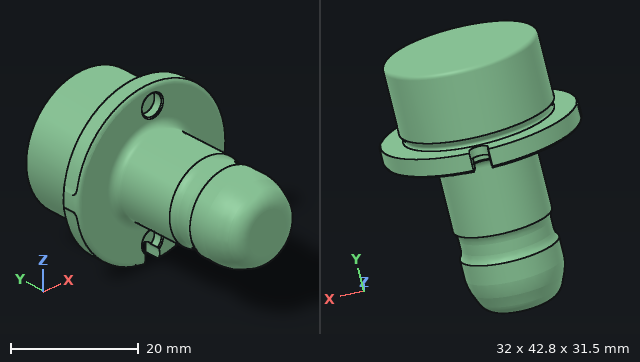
import cadquery as cq
import math


flange_thickness = 3.3
lug_diameter = 31.97
lug_radius = lug_diameter / 2
rim_radius = 15.8
flange_front_fillet = 1.03
flange_back_fillet = 0.2
lug_half_width = 1.5
lug_ramp_half_width = 2.7

barrel_diameter = 25.0
barrel_radius = barrel_diameter / 2
barrel_end = 16.15
barrel_fillet = 0.9
undercut_start = 4.7
undercut_bottom = 3.95
undercut_radius = 12.03
undercut_flange_radius = 12.2

shaft_diameter = 16.0
shaft_radius = shaft_diameter / 2
shaft_root_fillet = 1.5
groove_diameter = 15.0
groove_radius = groove_diameter / 2
groove_start = -12.7
groove_floor_start = -14.15
groove_floor_end = -15.95
groove_end = groove_floor_end - (groove_start - groove_floor_start)

nose_start = -20.67
shaft_end = -26.65
nose_shoulder_radius = 6.0
nose_tip_radius = 3.0
cone_angle = math.radians(23)

hole_offset = 12.03
hole_diameter = 4.1
hole_depth = 1.8
hole_chamfer = 0.2
slot_width = 3.0
slot_top = -12.9


def make_turned_body():
    """Barrel, undercut, full flange, and shaft without its groove, revolved as one profile."""
    cone_start_radius = shaft_radius - nose_shoulder_radius * (1 - math.cos(cone_angle))
    cone_start = nose_start - nose_shoulder_radius * math.sin(cone_angle)
    cone_end = shaft_end + nose_tip_radius * (1 - math.sin(cone_angle))
    cone_end_radius = cone_start_radius - (cone_start - cone_end) * math.tan(cone_angle)
    tip_flat_radius = cone_end_radius - nose_tip_radius * math.cos(cone_angle)
    profile = (
        cq.Workplane("XY")
        .moveTo(0, barrel_end)
        .lineTo(barrel_radius - barrel_fillet, barrel_end)
        .radiusArc((barrel_radius, barrel_end - barrel_fillet), barrel_fillet)
        .lineTo(barrel_radius, undercut_start)
        .lineTo(undercut_radius, undercut_bottom)
        .tangentArcPoint((undercut_flange_radius, flange_thickness), relative=False)
        .lineTo(lug_radius - flange_back_fillet, flange_thickness)
        .radiusArc((lug_radius, flange_thickness - flange_back_fillet), flange_back_fillet)
        .lineTo(lug_radius, flange_front_fillet)
        .radiusArc((lug_radius - flange_front_fillet, 0), flange_front_fillet)
        .lineTo(shaft_radius + shaft_root_fillet, 0)
        .radiusArc((shaft_radius, -shaft_root_fillet), -shaft_root_fillet)
        .lineTo(shaft_radius, nose_start)
        .radiusArc((cone_start_radius, cone_start), nose_shoulder_radius)
        .lineTo(cone_end_radius, cone_end)
        .radiusArc((tip_flat_radius, shaft_end), nose_tip_radius)
        .lineTo(0, shaft_end)
        .close()
    )
    return profile.revolve(360, (0, 0, 0), (0, 1, 0))


def make_shaft_groove():
    """Ring cutter whose sides sweep tangentially out of the groove floor."""
    depth = shaft_radius - groove_radius
    run = groove_start - groove_floor_start
    side_radius = (run**2 + depth**2) / (2 * depth)
    return (
        cq.Workplane("XY")
        .moveTo(shaft_radius, groove_start)
        .radiusArc((groove_radius, groove_floor_start), -side_radius)
        .lineTo(groove_radius, groove_floor_end)
        .radiusArc((shaft_radius, groove_end), -side_radius)
        .close()
        .revolve(360, (0, 0, 0), (0, 1, 0))
    )


def make_rim_relief(side):
    """Cutter that lowers the rim between the two lugs; side is +1 for +Z, -1 for -Z."""
    outside = 2 * lug_radius
    face_x = math.sqrt(lug_radius**2 - lug_half_width**2)
    ramp_x = math.sqrt(rim_radius**2 - lug_ramp_half_width**2)
    lug_z = side * lug_half_width
    ramp_z = side * lug_ramp_half_width
    rim_tangent = (lug_ramp_half_width / rim_radius, -side * ramp_x / rim_radius)
    ramp = cq.Edge.makeTangentArc(
        cq.Vector(ramp_x, 0, ramp_z),
        cq.Vector(rim_tangent[0], 0, rim_tangent[1]),
        cq.Vector(face_x, 0, lug_z),
    )
    ramp_middle = ramp.positionAt(0.5)
    return (
        cq.Workplane("XZ", origin=(0, flange_thickness, 0))
        .moveTo(-ramp_x, ramp_z)
        .threePointArc((0, side * rim_radius), (ramp_x, ramp_z))
        .threePointArc((ramp_middle.x, ramp_middle.z), (face_x, lug_z))
        .lineTo(outside, lug_z)
        .lineTo(outside, side * outside)
        .lineTo(-outside, side * outside)
        .lineTo(-outside, lug_z)
        .lineTo(-face_x, lug_z)
        .threePointArc((-ramp_middle.x, ramp_middle.z), (-ramp_x, ramp_z))
        .close()
        .extrude(flange_thickness)
    )


def make_locating_hole(z):
    """Blind hole cutter, parallel to Y, with a chamfered mouth on the flange face."""
    hole_radius = hole_diameter / 2
    return (
        cq.Workplane("XY", origin=(0, 0, z))
        .lineTo(hole_radius + hole_chamfer, 0)
        .lineTo(hole_radius, hole_chamfer)
        .lineTo(hole_radius, hole_depth)
        .lineTo(0, hole_depth)
        .close()
        .revolve(360, (0, 0, 0), (0, 1, 0))
    )


def make_slot():
    """Round-ended slot through the flange, open at the -Z rim."""
    half_width = slot_width / 2
    arc_center = slot_top - half_width
    slot_bottom = -lug_radius
    return (
        cq.Workplane("XZ", origin=(0, flange_thickness, 0))
        .moveTo(-half_width, slot_bottom)
        .lineTo(-half_width, arc_center)
        .threePointArc((0, slot_top), (half_width, arc_center))
        .lineTo(half_width, slot_bottom)
        .close()
        .extrude(flange_thickness)
    )


result = make_turned_body().cut(make_shaft_groove())
for side in (1, -1):
    result = result.cut(make_rim_relief(side))
    result = result.cut(make_locating_hole(side * hole_offset))
result = result.cut(make_slot())